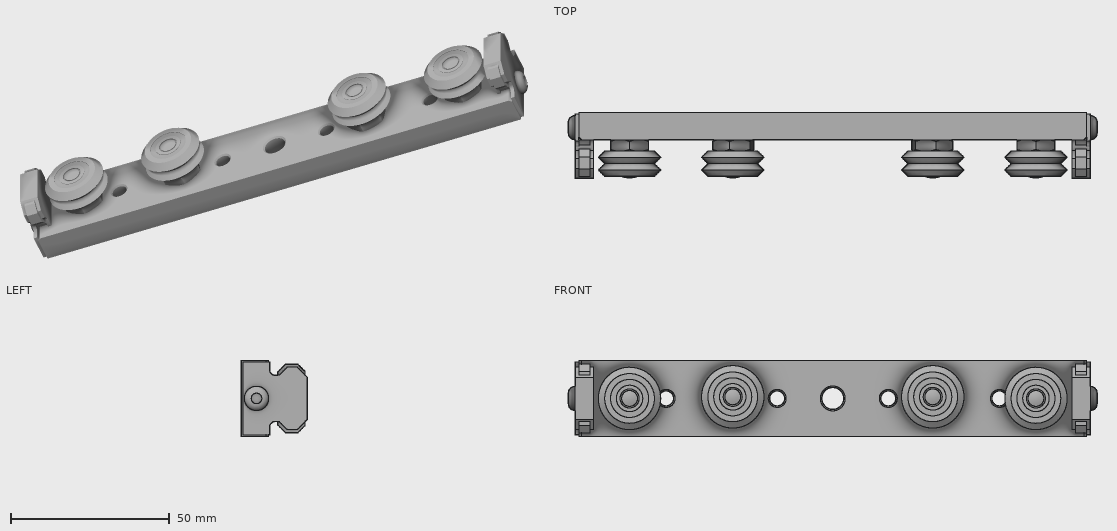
import cadquery as cq
import math


TOTAL_LENGTH = 166.5
BAR_LENGTH = 159.8
BAR_THICKNESS = 8.7
BAR_HEIGHT = 24.0
BAR_END_CHAMFER = 0.8

CENTRE_HOLE_DIAMETER = 6.8
SIDE_HOLE_DIAMETER = 4.7
SIDE_HOLE_OFFSETS = (17.5, 52.5)
HOLE_CHAMFER = 0.5

OUTER_ROLLER_X = 64.0
INNER_ROLLER_X = 31.5
INNER_ROLLER_RISE = 0.5
INNER_HEX_SHIFT = 0.2
INNER_HEX_TURN = 10
HEX_ACROSS_FLATS = 12.0
HEX_LENGTH = 3.5
HEX_CHAMFER = 0.5
HEX_BEVEL_RADIUS = 6.2
RIDGE_RADIUS = 9.8
ROLLER_RIM_RADIUS = 7.8
RIDGE_RISE = 2.0
SHIELD_OUTER_RADIUS = 6.0
SHIELD_INNER_RADIUS = 4.2
SHIELD_DEPTH = 0.2
RIVET_RADIUS = 2.5
RIVET_SEAT_RADIUS = 3.0
RIVET_SEAT_DEPTH = 0.3
RIVET_HEIGHT = 0.5

FRONT_REACH = 12.2
PLATE_THICKNESS = 1.2
PLATE_MARGIN = 0.5
PLATE_FRONT = 0.3
LOBE_THICKNESS = 5.8
NECK_HALF_HEIGHT = 7.3
GROOVE_RADIUS = 1.7
NECK_END = 3.3
LOBE_HALF_HEIGHT = 9.8
LOBE_FLAT_END = 9.0
LOBE_TIP_HALF_HEIGHT = 6.7
CHANNEL_LENGTH = 1.7
CHANNEL_DEPTH = 1.0
PAD_WIDTH = 3.5
PAD_INSET = 1.2
PAD_START = 2.8
PAD_START_HALF_HEIGHT = 8.3
PAD_HALF_HEIGHT = 10.8
PAD_FLAT_END = 9.2
PAD_TIP = 11.5

HEAD_DIAMETER = 7.7
SCREW_Y = 3.8
SOCKET_DIAMETER = 3.3
SOCKET_DEPTH = 1.0

PLATE_OUTER_X = BAR_LENGTH / 2 + PLATE_THICKNESS
HEAD_HEIGHT = TOTAL_LENGTH / 2 - PLATE_OUTER_X


def front_hole(x, diameter):
    """Through hole along Y with a countersunk front rim, as a cutting tool."""
    radius = diameter / 2
    profile = [
        (0, 0),
        (radius + HOLE_CHAMFER, 0),
        (radius, HOLE_CHAMFER),
        (radius, BAR_THICKNESS),
        (0, BAR_THICKNESS),
    ]
    tool = cq.Workplane("XY").polyline(profile).close().revolve(360, (0, 0, 0), (0, 1, 0))
    return tool.translate((x, 0, 0))


def make_bar():
    bar = (
        cq.Workplane("XY")
        .box(BAR_LENGTH, BAR_THICKNESS, BAR_HEIGHT)
        .translate((0, BAR_THICKNESS / 2, 0))
        .edges("|Z and <Y")
        .chamfer(BAR_END_CHAMFER)
    )
    bar = bar.cut(front_hole(0, CENTRE_HOLE_DIAMETER))
    for offset in SIDE_HOLE_OFFSETS:
        for side in (-1, 1):
            bar = bar.cut(front_hole(side * offset, SIDE_HOLE_DIAMETER))
    return bar


def make_hex(turn):
    """Hexagon spacer standing on the bar, its corners bevelled at both ends."""
    corner_radius = HEX_ACROSS_FLATS / math.sqrt(3)
    prism = (
        cq.Workplane("XZ")
        .polygon(6, 2 * corner_radius)
        .extrude(HEX_LENGTH)
        .rotate((0, 0, 0), (0, 1, 0), 30 - turn)
    )
    envelope = (
        cq.Workplane("XY")
        .polyline([
            (0, 0),
            (HEX_BEVEL_RADIUS, 0),
            (corner_radius, -HEX_CHAMFER),
            (corner_radius, HEX_CHAMFER - HEX_LENGTH),
            (HEX_BEVEL_RADIUS, -HEX_LENGTH),
            (0, -HEX_LENGTH),
        ])
        .close()
        .revolve(360, (0, 0, 0), (0, 1, 0))
    )
    return prism.intersect(envelope)


def make_wheel():
    """Wheel with two V ridges, a recessed bearing shield and a domed rivet."""
    back = -HEX_LENGTH
    face = back - 4 * RIDGE_RISE
    seat = face + RIVET_SEAT_DEPTH
    tip = face - RIVET_HEIGHT
    dome_radius = (RIVET_RADIUS ** 2 + RIVET_HEIGHT ** 2) / (2 * RIVET_HEIGHT)
    half_radius = RIVET_RADIUS / 2
    dome_mid = (half_radius, tip + dome_radius - math.sqrt(dome_radius ** 2 - half_radius ** 2))
    return (
        cq.Workplane("XY")
        .moveTo(0, back)
        .lineTo(ROLLER_RIM_RADIUS, back)
        .lineTo(RIDGE_RADIUS, back - RIDGE_RISE)
        .lineTo(ROLLER_RIM_RADIUS, back - 2 * RIDGE_RISE)
        .lineTo(RIDGE_RADIUS, back - 3 * RIDGE_RISE)
        .lineTo(ROLLER_RIM_RADIUS, face)
        .lineTo(SHIELD_OUTER_RADIUS, face)
        .lineTo(SHIELD_OUTER_RADIUS, face + SHIELD_DEPTH)
        .lineTo(SHIELD_INNER_RADIUS, face + SHIELD_DEPTH)
        .lineTo(SHIELD_INNER_RADIUS, face)
        .lineTo(RIVET_SEAT_RADIUS, face)
        .lineTo(RIVET_SEAT_RADIUS, seat)
        .lineTo(RIVET_RADIUS, seat)
        .lineTo(RIVET_RADIUS, face)
        .threePointArc(dome_mid, (0, tip))
        .close()
        .revolve(360, (0, 0, 0), (0, 1, 0))
    )


def make_outer_roller(side):
    roller = make_hex(0).union(make_wheel())
    return roller.translate((side * OUTER_ROLLER_X, 0, 0))


def make_inner_roller(side):
    spacer = make_hex(-side * INNER_HEX_TURN).translate((-side * INNER_HEX_SHIFT, 0, 0))
    wheel = make_wheel().translate((0, 0, INNER_ROLLER_RISE))
    return spacer.union(wheel).translate((side * INNER_ROLLER_X, 0, 0))


def upright_slab(half_outline, x_start, thickness):
    """Slab along X from a (y, z) outline of its upper half, mirrored about Z = 0."""
    lower_half = [(y, -z) for y, z in reversed(half_outline)]
    slab = cq.Workplane("YZ").polyline(half_outline + lower_half).close().extrude(thickness)
    return slab.translate((x_start, 0, 0))


def make_right_wiper():
    inner_x = PLATE_OUTER_X - LOBE_THICKNESS
    pad_inner_x = PLATE_OUTER_X - PAD_INSET - PAD_WIDTH

    plate_top = BAR_HEIGHT / 2 - PLATE_MARGIN
    groove_end = PLATE_FRONT + GROOVE_RADIUS
    plate = upright_slab(
        [
            (BAR_THICKNESS - PLATE_MARGIN, plate_top),
            (-PLATE_FRONT, plate_top),
            (-PLATE_FRONT, NECK_HALF_HEIGHT),
        ],
        BAR_LENGTH / 2,
        PLATE_THICKNESS,
    )
    bend = GROOVE_RADIUS * (1 - math.sqrt(0.5))
    web_top = NECK_HALF_HEIGHT + GROOVE_RADIUS
    for flip in (-1, 1):
        web = (
            cq.Workplane("YZ")
            .moveTo(-PLATE_FRONT, flip * NECK_HALF_HEIGHT)
            .lineTo(-PLATE_FRONT, flip * web_top)
            .threePointArc(
                (-PLATE_FRONT - bend, flip * (NECK_HALF_HEIGHT + bend)),
                (-groove_end, flip * NECK_HALF_HEIGHT),
            )
            .close()
            .extrude(PLATE_THICKNESS)
            .translate((BAR_LENGTH / 2, 0, 0))
        )
        plate = plate.union(web)

    lobe_rise = LOBE_HALF_HEIGHT - NECK_HALF_HEIGHT
    lobe = upright_slab(
        [
            (0, NECK_HALF_HEIGHT),
            (-NECK_END, NECK_HALF_HEIGHT),
            (-NECK_END - lobe_rise, LOBE_HALF_HEIGHT),
            (-LOBE_FLAT_END, LOBE_HALF_HEIGHT),
            (-FRONT_REACH, LOBE_TIP_HALF_HEIGHT),
        ],
        inner_x,
        LOBE_THICKNESS,
    )

    channel_x = pad_inner_x + PAD_WIDTH / 2
    channel_cutter = cq.Workplane("XY").box(PAD_WIDTH, CHANNEL_LENGTH, 2 * CHANNEL_DEPTH)
    for flip in (-1, 1):
        place = (channel_x, -CHANNEL_LENGTH / 2, flip * NECK_HALF_HEIGHT)
        lobe = lobe.cut(channel_cutter.translate(place))

    pad_start_rise = PAD_HALF_HEIGHT - PAD_START_HALF_HEIGHT
    pad_tip_drop = PAD_TIP - PAD_FLAT_END
    pad = upright_slab(
        [
            (-PAD_START, NECK_HALF_HEIGHT),
            (-PAD_START, PAD_START_HALF_HEIGHT),
            (-PAD_START - pad_start_rise, PAD_HALF_HEIGHT),
            (-PAD_FLAT_END, PAD_HALF_HEIGHT),
            (-PAD_TIP, PAD_HALF_HEIGHT - pad_tip_drop),
        ],
        pad_inner_x,
        PAD_WIDTH,
    )
    return plate.union(lobe).union(pad)


def make_right_screw():
    """Button head resting on the wiper plate, its dome running in to a round socket."""
    edge_radius = HEAD_DIAMETER / 2
    top_radius = SOCKET_DIAMETER / 2
    diagonal = math.sqrt(0.5)
    dome_mid = (
        HEAD_HEIGHT * diagonal,
        top_radius + (edge_radius - top_radius) * diagonal,
    )
    head = (
        cq.Workplane("XY")
        .moveTo(0, 0)
        .lineTo(0, edge_radius)
        .threePointArc(dome_mid, (HEAD_HEIGHT, top_radius))
        .lineTo(HEAD_HEIGHT - SOCKET_DEPTH, top_radius)
        .lineTo(HEAD_HEIGHT - SOCKET_DEPTH, 0)
        .close()
        .revolve(360, (0, 0, 0), (1, 0, 0))
    )
    return head.translate((PLATE_OUTER_X, SCREW_Y, 0))


bodies = [make_bar().val()]

for side in (-1, 1):
    bodies.append(make_outer_roller(side).val())
    bodies.append(make_inner_roller(side).val())

for right_body in (make_right_wiper(), make_right_screw()):
    bodies.append(right_body.val())
    bodies.append(right_body.mirror("YZ").val())

result = cq.Compound.makeCompound(bodies)